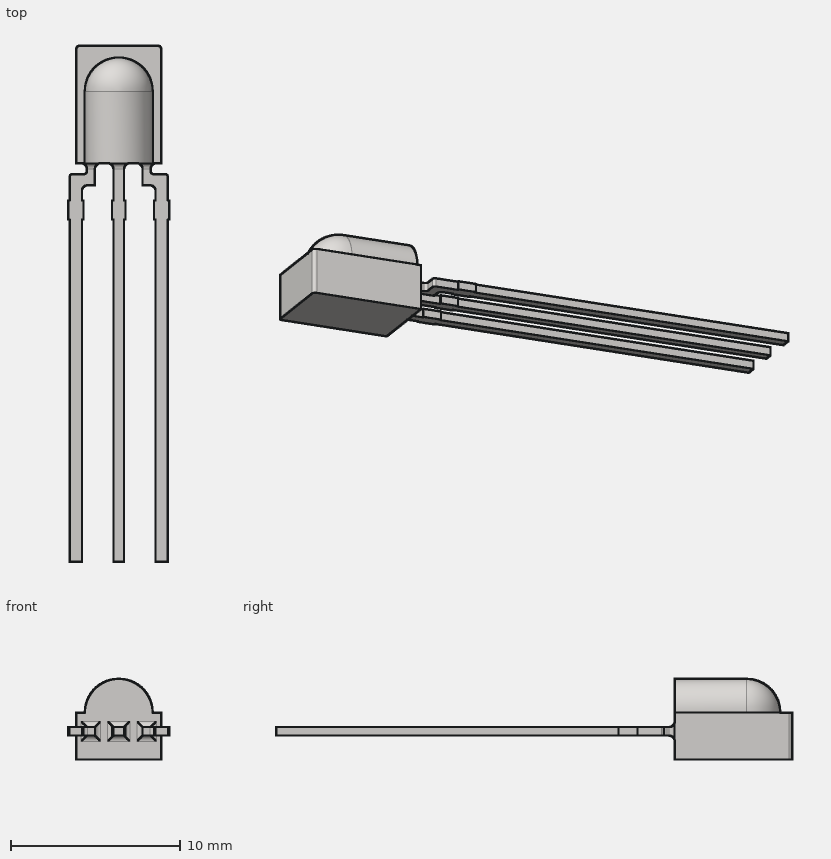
import cadquery as cq

total_length = 30.5

body_width = 5.03
body_length = 6.95
body_height = 2.78
rear_corner_radius = 0.2
lens_radius = 2.0
lens_setback = 0.7
lens_straight = body_length - lens_setback - lens_radius

lead_length = total_length - body_length
lead_thickness = 0.52
lead_z = 1.68
middle_width = 0.65
outer_width = 0.73
outer_x = 2.53
neck_width = 0.5
neck_x = 1.65

arm_near = 0.65
arm_far = 1.3
neck_bend_radius = 0.18
lead_bend_radius = 0.3
outer_corner_radius = 0.15

bulge_start = 2.2
bulge_end = 3.32
bulge_margin = 0.1

flare_radius = 0.35


def make_body():
    block = (
        cq.Workplane("XY")
        .box(body_width, body_length, body_height, centered=(True, False, False))
        .edges("|Z and >Y")
        .fillet(rear_corner_radius)
    )
    barrel = (
        cq.Workplane("XZ", origin=(0, 0, body_height))
        .circle(lens_radius)
        .extrude(-lens_straight)
    )
    ball = cq.Workplane("XY").sphere(lens_radius).translate((0, lens_straight, body_height))
    upper_half = cq.Workplane("XY", origin=(0, 0, body_height)).box(
        body_width, body_length, lens_radius, centered=(True, False, False)
    )
    return block.union(barrel.union(ball).intersect(upper_half))


def lead_bar(x, width, start, end):
    """Rectangular length of lead between two distances from the body."""
    return cq.Workplane("XY").box(width, end - start, lead_thickness).translate(
        (x, -(start + end) / 2, lead_z)
    )


def flare_profile(plane, width):
    """Symmetric profile with concave sides, wide at the body and narrow at the lead."""
    narrow = width / 2
    wide = narrow + flare_radius
    arc_inset = flare_radius * (1 - 0.5 ** 0.5)
    return (
        cq.Workplane(plane)
        .moveTo(-wide, 0)
        .lineTo(wide, 0)
        .threePointArc((narrow + arc_inset, -arc_inset), (narrow, -flare_radius))
        .lineTo(-narrow, -flare_radius)
        .threePointArc((-narrow - arc_inset, -arc_inset), (-wide, 0))
        .close()
    )


def make_flare(x, width):
    """Four concave sides meeting in mitred corners."""
    side_plane = cq.Plane(origin=(0, 0, 0), xDir=(0, 0, -1), normal=(1, 0, 0))
    depth = lead_thickness / 2 + flare_radius
    half_width = width / 2 + flare_radius
    across = flare_profile("XY", width).extrude(depth, both=True)
    upright = flare_profile(side_plane, lead_thickness).extrude(half_width, both=True)
    return across.intersect(upright).translate((x, 0, lead_z))


def make_bulge(x, width):
    return lead_bar(x, width + 2 * bulge_margin, bulge_start, bulge_end)


def make_middle_lead():
    lead = lead_bar(0, middle_width, 0, lead_length)
    return lead.union(make_bulge(0, middle_width)).union(make_flare(0, middle_width))


def make_right_lead():
    neck_inner = neck_x - neck_width / 2
    neck_outer = neck_x + neck_width / 2
    lead_inner = outer_x - outer_width / 2
    lead_outer = outer_x + outer_width / 2
    outline = [
        (neck_inner, 0),
        (neck_outer, 0),
        (neck_outer, -arm_near),
        (lead_outer, -arm_near),
        (lead_outer, -lead_length),
        (lead_inner, -lead_length),
        (lead_inner, -arm_far),
        (neck_inner, -arm_far),
    ]
    lead = (
        cq.Workplane("XY", origin=(0, 0, lead_z - lead_thickness / 2))
        .polyline(outline)
        .close()
        .extrude(lead_thickness)
    )
    for x, y, radius in (
        (neck_outer, -arm_near, neck_bend_radius),
        (lead_inner, -arm_far, lead_bend_radius),
        (lead_outer, -arm_near, outer_corner_radius),
    ):
        corner = cq.selectors.NearestToPointSelector((x, y, lead_z))
        lead = lead.edges("|Z").edges(corner).fillet(radius)
    return lead.union(make_bulge(outer_x, outer_width)).union(make_flare(neck_x, neck_width))


right_lead = make_right_lead()
left_lead = right_lead.mirror("YZ")
result = make_body().union(make_middle_lead()).union(right_lead).union(left_lead)